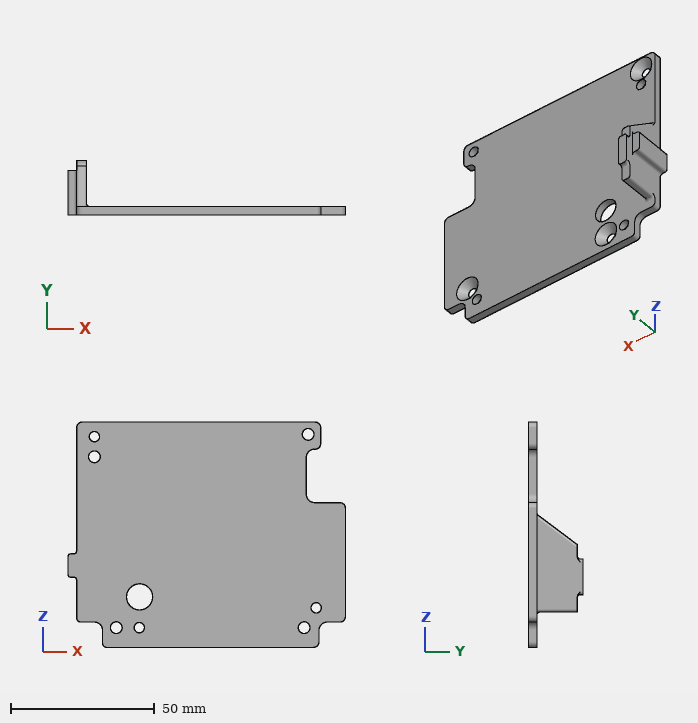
import cadquery as cq

PLATE_THICKNESS = 3.0
PLATE_WIDTH = 93.5
PLATE_HEIGHT = 78.4
TOP_EDGE_RIGHT = 84.9
NOTCH_LEFT = 79.9
NOTCH_TOP = 68.9
NOTCH_BOTTOM = 50.4
SHOULDER_HEIGHT = 8.8
FOOT_LEFT = 9.0
FOOT_RIGHT = 84.3
CORNER_RADIUS = 2.0
SMALL_CORNER_RADIUS = 1.5
INNER_CORNER_RADIUS = 2.8

SMALL_HOLE_DIAMETER = 3.5
SMALL_HOLES = [(6.2, 73.3), (21.8, 6.9), (83.3, 13.8)]
SCREW_HOLE_DIAMETER = 4.0
SCREW_HOLES = [(6.2, 66.3), (80.5, 74.1), (13.8, 6.9), (79.1, 6.9)]
LARGE_HOLE_DIAMETER = 9.0
LARGE_HOLES = [(21.9, 17.6)]
HOLE_GROUPS = [
    (SMALL_HOLES, SMALL_HOLE_DIAMETER),
    (SCREW_HOLES, SCREW_HOLE_DIAMETER),
    (LARGE_HOLES, LARGE_HOLE_DIAMETER),
]

COUNTERSINK_DIAMETER = SMALL_HOLE_DIAMETER + 2 * PLATE_THICKNESS

WALL_THICKNESS = 3.5
WALL_DEPTH = 17.0
WALL_BOTTOM = 12.3
WALL_TOP_AT_PLATE = 46.3
WALL_TOP_AT_BACK = 35.8
TIP_DEPTH = 19.0
TIP_BOTTOM = 18.3
TIP_TOP = 30.8
WALL_RADIUS = 1.0

PAD_MARGIN = 3.0
TOLERANCE = 0.01

RAIL_PROJECTION = 3.0
RAIL_DEPTH = 15.5
RAIL_BOTTOM = 24.4
RAIL_TOP = 32.6
RAIL_RADIUS = 1.0


def extrude_back(sketch, depth):
    """Extrude a sketch on the XZ plane from Y = 0 towards +Y."""
    return sketch.extrude(-depth)


def make_block(x_range, y_range, z_range):
    """Axis-aligned block spanning the given (low, high) ranges."""
    sizes = [high - low for low, high in (x_range, y_range, z_range)]
    corner = (x_range[0], y_range[0], z_range[0])
    return cq.Workplane("XY").box(*sizes, centered=False).translate(corner)


def round_upright_edges(body, corners, radius):
    """Round the edges parallel to Y that pass nearest to the given (X, Z) corners."""
    for x, z in corners:
        near_edge = cq.selectors.NearestToPointSelector((x, PLATE_THICKNESS / 2, z))
        body = body.edges("|Y").edges(near_edge).fillet(radius)
    return body


def make_plate():
    outline = [
        (0, SHOULDER_HEIGHT),
        (FOOT_LEFT, SHOULDER_HEIGHT),
        (FOOT_LEFT, 0),
        (FOOT_RIGHT, 0),
        (FOOT_RIGHT, SHOULDER_HEIGHT),
        (PLATE_WIDTH, SHOULDER_HEIGHT),
        (PLATE_WIDTH, NOTCH_BOTTOM),
        (NOTCH_LEFT, NOTCH_BOTTOM),
        (NOTCH_LEFT, NOTCH_TOP),
        (TOP_EDGE_RIGHT, NOTCH_TOP),
        (TOP_EDGE_RIGHT, PLATE_HEIGHT),
        (0, PLATE_HEIGHT),
    ]
    plate = extrude_back(cq.Workplane("XZ").polyline(outline).close(), PLATE_THICKNESS)
    corners = [
        (PLATE_WIDTH, SHOULDER_HEIGHT),
        (PLATE_WIDTH, NOTCH_BOTTOM),
        (TOP_EDGE_RIGHT, NOTCH_TOP),
        (TOP_EDGE_RIGHT, PLATE_HEIGHT),
        (0, PLATE_HEIGHT),
        (FOOT_RIGHT, 0),
    ]
    small_corners = [(0, SHOULDER_HEIGHT), (FOOT_LEFT, 0)]
    inner_corners = [
        (FOOT_LEFT, SHOULDER_HEIGHT),
        (FOOT_RIGHT, SHOULDER_HEIGHT),
        (NOTCH_LEFT, NOTCH_BOTTOM),
        (NOTCH_LEFT, NOTCH_TOP),
    ]
    plate = round_upright_edges(plate, corners, CORNER_RADIUS)
    plate = round_upright_edges(plate, small_corners, SMALL_CORNER_RADIUS)
    return round_upright_edges(plate, inner_corners, INNER_CORNER_RADIUS)


def make_holes(centres, diameter):
    circles = cq.Workplane("XZ").pushPoints(centres).circle(diameter / 2)
    return extrude_back(circles, PLATE_THICKNESS)


def make_countersink(x, z):
    """Cone from the small hole diameter at the front face to the countersink diameter at the back face."""
    cone = cq.Solid.makeCone(
        SMALL_HOLE_DIAMETER / 2,
        COUNTERSINK_DIAMETER / 2,
        PLATE_THICKNESS,
        pnt=cq.Vector(x, 0, z),
        dir=cq.Vector(0, 1, 0),
    )
    return cq.Workplane(cone)


def add_root_fillet(body, base_y, x_range, z_range):
    """Flare a body out where it leaves the plane Y = base_y.

    The body is set on a pad wider than itself and filleted there. Only the part behind that plane,
    away from the plate's front face and within x_range, is kept.
    """
    pad_z = (z_range[0] - PAD_MARGIN, z_range[1] + PAD_MARGIN)
    pad_x = (-PAD_MARGIN, WALL_THICKNESS + PAD_MARGIN)
    pad = make_block(pad_x, (base_y - PAD_MARGIN, base_y), pad_z)
    root_edges = cq.selectors.BoxSelector(
        (-TOLERANCE, base_y - TOLERANCE, z_range[0] - TOLERANCE),
        (WALL_THICKNESS + TOLERANCE, base_y + TOLERANCE, z_range[1] + TOLERANCE),
    )
    flared = pad.union(body).edges(root_edges).fillet(WALL_RADIUS)
    return flared.intersect(make_block(x_range, (base_y, TIP_DEPTH), pad_z))


def make_tip():
    """Raised pad at the back of the wall, with rounded edges and a flared root."""
    tip = make_block((0, WALL_THICKNESS), (PLATE_THICKNESS, TIP_DEPTH), (TIP_BOTTOM, TIP_TOP))
    tip = tip.edges("|Y").fillet(WALL_RADIUS)
    return add_root_fillet(tip, WALL_DEPTH, (0, WALL_THICKNESS), (TIP_BOTTOM, TIP_TOP))


def make_wall():
    """Wall with a level lower end and a sloping upper end, both with rounded edges and flared roots."""
    slope = (WALL_TOP_AT_PLATE - WALL_TOP_AT_BACK) / (WALL_DEPTH - PLATE_THICKNESS)
    profile = [
        (0, WALL_BOTTOM),
        (WALL_DEPTH, WALL_BOTTOM),
        (WALL_DEPTH, WALL_TOP_AT_BACK),
        (0, WALL_TOP_AT_BACK + slope * WALL_DEPTH),
    ]
    wall = cq.Workplane("YZ").polyline(profile).close().extrude(WALL_THICKNESS)
    upper_end = cq.selectors.DirectionMinMaxSelector(cq.Vector(0, slope, 1), True)
    for end_face in (cq.selectors.StringSyntaxSelector("<Z"), upper_end):
        wall = wall.faces(end_face).edges("not |X").fillet(WALL_RADIUS)
    x_range = (0, WALL_THICKNESS + WALL_RADIUS)
    return add_root_fillet(wall, PLATE_THICKNESS, x_range, (WALL_BOTTOM, WALL_TOP_AT_PLATE))


def make_rail():
    """Side rail whose outer corners are rounded and whose roots flare into the wall."""
    radius = RAIL_RADIUS
    outer = -RAIL_PROJECTION
    profile = (
        cq.Workplane("XZ")
        .moveTo(0, RAIL_BOTTOM - radius)
        .radiusArc((-radius, RAIL_BOTTOM), -radius)
        .lineTo(outer + radius, RAIL_BOTTOM)
        .radiusArc((outer, RAIL_BOTTOM + radius), radius)
        .lineTo(outer, RAIL_TOP - radius)
        .radiusArc((outer + radius, RAIL_TOP), radius)
        .lineTo(-radius, RAIL_TOP)
        .radiusArc((0, RAIL_TOP + radius), -radius)
        .close()
    )
    return extrude_back(profile, RAIL_DEPTH)


plate = make_plate()
for hole_centres, hole_diameter in HOLE_GROUPS:
    plate = plate.cut(make_holes(hole_centres, hole_diameter))
for hole_x, hole_z in SMALL_HOLES:
    plate = plate.cut(make_countersink(hole_x, hole_z))
result = plate.union(make_wall()).union(make_tip()).union(make_rail())